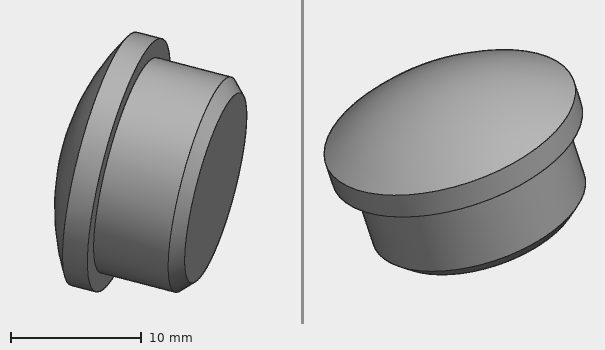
import cadquery as cq
import math

head_radius = 10.0
dome_height = 3.0
rim_thickness = 2.0
barrel_radius = 8.5
barrel_length = 7.0
chamfer_size = 1.0

dome_edge_x = -rim_thickness
dome_tip_x = dome_edge_x - dome_height

sphere_radius = (head_radius**2 + dome_height**2) / (2 * dome_height)
sphere_center_x = dome_tip_x + sphere_radius
half_dome_angle = math.asin(head_radius / sphere_radius) / 2
dome_mid_x = sphere_center_x - sphere_radius * math.cos(half_dome_angle)
dome_mid_radius = sphere_radius * math.sin(half_dome_angle)


def make_head():
    """Domed cap with its cylindrical rim, revolved about the X axis."""
    profile = (
        cq.Workplane("XY")
        .moveTo(dome_tip_x, 0)
        .threePointArc((dome_mid_x, dome_mid_radius), (dome_edge_x, head_radius))
        .lineTo(0, head_radius)
        .lineTo(0, 0)
        .close()
    )
    return profile.revolve(360, (0, 0, 0), (1, 0, 0))


def make_barrel():
    """Cylindrical shank with a chamfered lead-in at its free end."""
    shank = cq.Workplane("YZ").circle(barrel_radius).extrude(barrel_length)
    return shank.faces(">X").chamfer(chamfer_size)


result = make_head().union(make_barrel())